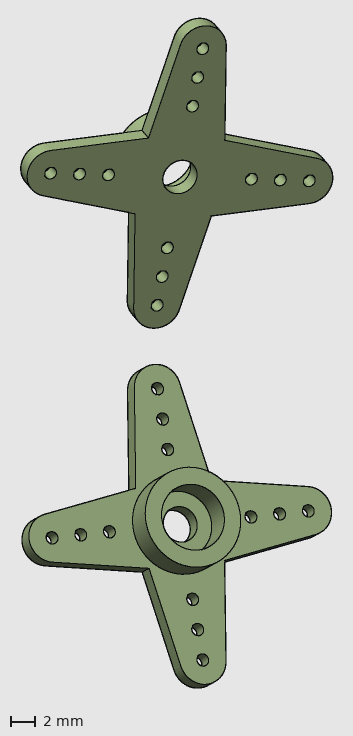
import cadquery as cq
import math

ARM_COUNT = 4
ARM_PITCH = 360 / ARM_COUNT
ARM_TILT = -10
PLATE_THICKNESS = 1.6
OVERALL_THICKNESS = 4.5
OVERALL_SPAN = 26.0

TIP_RADIUS = 2.0
TIP_DISTANCE = (OVERALL_SPAN / 2 - TIP_RADIUS) / math.cos(math.radians(ARM_TILT))
ROOT_HALF_WIDTH = 3.3

ARM_HOLE_DIAMETER = 1.0
ARM_HOLE_SPACING = 2.5
ARM_HOLE_COUNT = 3

HUB_DIAMETER = 8.2
HUB_HEIGHT = OVERALL_THICKNESS - PLATE_THICKNESS
SOCKET_DIAMETER = 5.4
SOCKET_DEPTH = HUB_HEIGHT
SCREW_HOLE_DIAMETER = 2.9


def cylinder(diameter, x_start, length):
    """Cylinder on the hub axis, running towards +X from x_start."""
    return cq.Workplane("YZ", origin=(x_start, 0, 0)).circle(diameter / 2).extrude(length)


def make_arm():
    """One arm along +Y, with straight sides tangent to its round tip."""
    root_to_tip = TIP_DISTANCE - ROOT_HALF_WIDTH
    root_to_centre = math.hypot(root_to_tip, ROOT_HALF_WIDTH)
    taper = math.atan2(ROOT_HALF_WIDTH, root_to_tip) - math.asin(TIP_RADIUS / root_to_centre)
    tangent_y = TIP_DISTANCE + TIP_RADIUS * math.sin(taper)
    tangent_z = TIP_RADIUS * math.cos(taper)

    arm = (
        cq.Workplane("YZ")
        .lineTo(ROOT_HALF_WIDTH, -ROOT_HALF_WIDTH)
        .lineTo(tangent_y, -tangent_z)
        .threePointArc((TIP_DISTANCE + TIP_RADIUS, 0), (tangent_y, tangent_z))
        .lineTo(ROOT_HALF_WIDTH, ROOT_HALF_WIDTH)
        .close()
        .extrude(PLATE_THICKNESS)
    )
    hole_centres = [(TIP_DISTANCE - i * ARM_HOLE_SPACING, 0) for i in range(ARM_HOLE_COUNT)]
    holes = (
        cq.Workplane("YZ")
        .pushPoints(hole_centres)
        .circle(ARM_HOLE_DIAMETER / 2)
        .extrude(PLATE_THICKNESS)
    )
    return arm.cut(holes)


def make_horn():
    """Hub joined to the ring of arms, then bored from the hub end."""
    horn = cylinder(HUB_DIAMETER, -HUB_HEIGHT, OVERALL_THICKNESS)
    arm = make_arm()
    for i in range(ARM_COUNT):
        angle = ARM_TILT + i * ARM_PITCH
        horn = horn.union(arm.rotate((0, 0, 0), (1, 0, 0), angle))
    horn = horn.cut(cylinder(SOCKET_DIAMETER, -HUB_HEIGHT, SOCKET_DEPTH))
    horn = horn.cut(cylinder(SCREW_HOLE_DIAMETER, -HUB_HEIGHT, OVERALL_THICKNESS))
    return horn.clean()


result = make_horn()